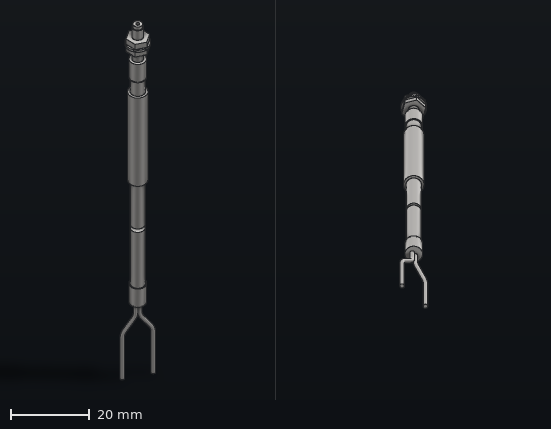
import cadquery as cq
import math

TIP_TOP = 119.0
TIP_BASE = 117.9
NUT_STACK_TOP = 114.7
UPPER_SLEEVE_TOP = 107.2
UPPER_SLEEVE_BASE = 101.0
COLLAR_TOP = 96.2
COLLAR_BASE = 66.3
UPPER_CABLE_END = 51.3
LOWER_CABLE_END = 50.1
LOWER_SLEEVE_TOP = 31.2
LOWER_SLEEVE_BASE = 25.0
SPLIT_LEVEL = 21.5

TIP_DIAMETER = 2.5
ROD_DIAMETER = 3.0
SLEEVE_DIAMETER = 4.5
CABLE_DIAMETER = 3.9
COLLAR_DIAMETER = 5.2
LENS_DIAMETER = 1.0
LENS_DEPTH = TIP_TOP - TIP_BASE

NUT_ACROSS_FLATS = 5.5
NUT_HEIGHT = 1.8
WASHER_DIAMETER = 6.5
WASHER_THICKNESS = 0.7

WIRE_DIAMETER = 1.2
WIRE_WEB = 0.1
WIRE_OUTER_SPAN = 9.4
BEND_RADIUS = 3.8
BEND_ANGLE = math.radians(34)


def cylinder(diameter, bottom, top):
    return cq.Workplane("XY").workplane(offset=bottom).circle(diameter / 2).extrude(top - bottom)


def make_sensor_head():
    """Threaded rod, sleeve, collar and the upper length of cable."""
    head = cylinder(TIP_DIAMETER, TIP_BASE, TIP_TOP)
    head = head.union(cylinder(ROD_DIAMETER, UPPER_SLEEVE_TOP, TIP_BASE))
    head = head.union(cylinder(SLEEVE_DIAMETER, UPPER_SLEEVE_BASE, UPPER_SLEEVE_TOP))
    head = head.union(cylinder(CABLE_DIAMETER, COLLAR_TOP, UPPER_SLEEVE_BASE))
    head = head.union(cylinder(COLLAR_DIAMETER, COLLAR_BASE, COLLAR_TOP))
    head = head.union(cylinder(CABLE_DIAMETER, UPPER_CABLE_END, COLLAR_BASE))
    return head.cut(cylinder(LENS_DIAMETER, TIP_TOP - LENS_DEPTH, TIP_TOP))


def make_lower_cable():
    """Lower length of cable with its end sleeve."""
    cable = cylinder(CABLE_DIAMETER, LOWER_SLEEVE_TOP, LOWER_CABLE_END)
    return cable.union(cylinder(SLEEVE_DIAMETER, LOWER_SLEEVE_BASE, LOWER_SLEEVE_TOP))


def make_nut(bottom):
    """Hexagon nut with two flats facing along X."""
    across_corners = NUT_ACROSS_FLATS / math.cos(math.pi / 6)
    nut = cq.Workplane("XY").workplane(offset=bottom).polygon(6, across_corners).extrude(NUT_HEIGHT)
    nut = nut.rotate((0, 0, 0), (0, 0, 1), 30)
    return nut.cut(cylinder(ROD_DIAMETER, bottom, bottom + NUT_HEIGHT))


def make_washer(bottom):
    top = bottom + WASHER_THICKNESS
    return cylinder(WASHER_DIAMETER, bottom, top).cut(cylinder(ROD_DIAMETER, bottom, top))


def make_strand(side):
    """One strand, bent outwards to the given side of Y and back to vertical."""
    start_y = (WIRE_DIAMETER - WIRE_WEB) / 2
    end_y = (WIRE_OUTER_SPAN - WIRE_DIAMETER) / 2
    arc_y = BEND_RADIUS * (1 - math.cos(BEND_ANGLE))
    arc_z = BEND_RADIUS * math.sin(BEND_ANGLE)
    half_arc_y = BEND_RADIUS * (1 - math.cos(BEND_ANGLE / 2))
    half_arc_z = BEND_RADIUS * math.sin(BEND_ANGLE / 2)
    slope_z = (end_y - start_y - 2 * arc_y) / math.tan(BEND_ANGLE)
    bend_end_z = SPLIT_LEVEL - 2 * arc_z - slope_z

    path = (
        cq.Workplane("YZ")
        .moveTo(side * start_y, LOWER_SLEEVE_BASE)
        .lineTo(side * start_y, SPLIT_LEVEL)
        .threePointArc(
            (side * (start_y + half_arc_y), SPLIT_LEVEL - half_arc_z),
            (side * (start_y + arc_y), SPLIT_LEVEL - arc_z),
        )
        .lineTo(side * (end_y - arc_y), bend_end_z + arc_z)
        .threePointArc(
            (side * (end_y - half_arc_y), bend_end_z + half_arc_z),
            (side * end_y, bend_end_z),
        )
        .lineTo(side * end_y, 0)
    )
    profile = (
        cq.Workplane("XY")
        .workplane(offset=LOWER_SLEEVE_BASE)
        .center(0, side * start_y)
        .circle(WIRE_DIAMETER / 2)
    )
    return profile.sweep(path)


def make_twin_wire():
    return make_strand(-1).union(make_strand(1))


sensor_head = make_sensor_head()
lower_cable = make_lower_cable()
twin_wire = make_twin_wire()

washer_bottom = NUT_STACK_TOP - NUT_HEIGHT - WASHER_THICKNESS
washer = make_washer(washer_bottom)
nut_bottoms = [washer_bottom - NUT_HEIGHT, washer_bottom + WASHER_THICKNESS]
nuts = [make_nut(bottom).val() for bottom in nut_bottoms]

result = cq.Compound.makeCompound(
    [sensor_head.val(), lower_cable.val(), twin_wire.val(), washer.val(), *nuts]
)